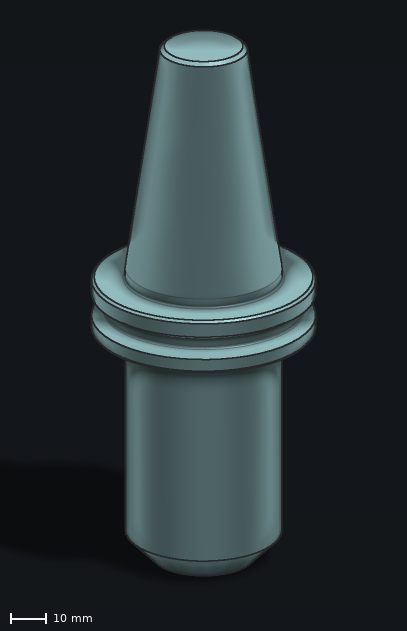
import cadquery as cq
import math

total_length = 157.2
taper_length = 68.4
gauge_to_flange = 2.8
flange_thickness = 16.2

gauge_diameter = 44.5
taper_ratio = 7 / 24
shank_chamfer = 1.1

flange_diameter = 63.5
flange_chamfer = 0.8
groove_diameter = 56.4
groove_width = 6.9
groove_center_drop = 11.2
groove_flank_angle = 30.0
groove_fillet = 0.8

nose_diameter = 44.3
nose_end_diameter = 28.9
nose_cone_height = 7.9

neck_fillet = 0.6
nose_fillet = 1.0

gauge_z = total_length - taper_length
flange_top_z = gauge_z - gauge_to_flange
flange_bottom_z = flange_top_z - flange_thickness
groove_z = gauge_z - groove_center_drop
gauge_radius = gauge_diameter / 2
shank_end_radius = gauge_radius - taper_length * taper_ratio / 2
flange_radius = flange_diameter / 2
groove_radius = groove_diameter / 2
nose_radius = nose_diameter / 2


def circle_edges(solid, radius, z):
    """Select the circular edges of the given radius lying at height z."""
    tolerance = 0.02
    reach = radius + tolerance
    inner = radius - tolerance
    outer_box = cq.selectors.BoxSelector(
        (-reach, -reach, z - tolerance), (reach, reach, z + tolerance), boundingbox=True
    )
    inner_box = cq.selectors.BoxSelector(
        (-inner, -inner, z - tolerance), (inner, inner, z + tolerance), boundingbox=True
    )
    return solid.edges(outer_box - inner_box).edges("%CIRCLE")


def make_shank():
    """Taper with a short cylinder between the gauge plane and the flange."""
    profile = [
        (0, flange_top_z),
        (gauge_radius, flange_top_z),
        (gauge_radius, gauge_z),
        (shank_end_radius, total_length),
        (0, total_length),
    ]
    shank = cq.Workplane("XZ").polyline(profile).close().revolve(360, (0, 0), (0, 1))
    return shank.faces(">Z").edges().chamfer(shank_chamfer)


def make_flange():
    """Disc with chamfered rims and a V-groove that has a flat floor and rounded corners."""
    base = cq.Workplane("XY", origin=(0, 0, flange_bottom_z))
    flange = base.circle(flange_radius).extrude(flange_thickness)
    flange = flange.faces("<Z or >Z").edges().chamfer(flange_chamfer)

    half_width = groove_width / 2
    flank_drop = (flange_radius - groove_radius) * math.tan(math.radians(groove_flank_angle))
    half_floor = half_width - flank_drop
    groove_profile = [
        (flange_radius, groove_z - half_width),
        (groove_radius, groove_z - half_floor),
        (groove_radius, groove_z + half_floor),
        (flange_radius, groove_z + half_width),
    ]
    groove = cq.Workplane("XZ").polyline(groove_profile).close().revolve(360, (0, 0), (0, 1))
    flange = flange.cut(groove)
    for side in (-1, 1):
        flange = circle_edges(flange, groove_radius, groove_z + side * half_floor).fillet(groove_fillet)
    return flange


def make_nose():
    """Cylinder ending in a conical tip."""
    profile = [
        (0, 0),
        (nose_end_diameter / 2, 0),
        (nose_radius, nose_cone_height),
        (nose_radius, flange_bottom_z),
        (0, flange_bottom_z),
    ]
    return cq.Workplane("XZ").polyline(profile).close().revolve(360, (0, 0), (0, 1))


holder = make_flange().union(make_shank()).union(make_nose())
holder = circle_edges(holder, gauge_radius, flange_top_z).fillet(neck_fillet)
result = circle_edges(holder, nose_radius, flange_bottom_z).fillet(nose_fillet)